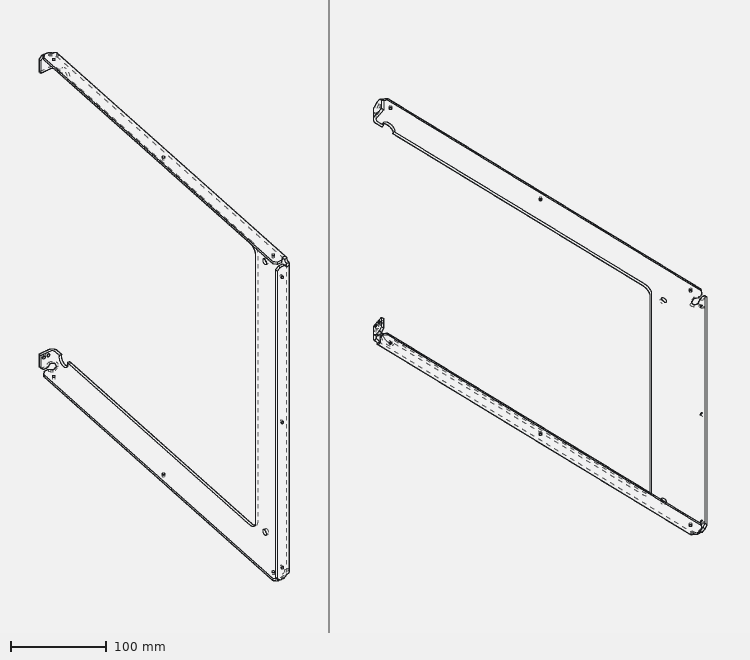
import cadquery as cq

length_x = 423.5
depth_y = 19.0
height_z = 439.0

sheet = 3.0
inner_bend_radius = 3.5
outer_bend_radius = sheet + inner_bend_radius
plate_front = depth_y / 2 - sheet
right_x = length_x / 2
left_x = -right_x
top_z = height_z / 2

arm_edge_z = 194.0
post_edge_x = 151.0
opening_corner_radius = 10.0

flange_end_gap = 4.5
flange_chamfer = 3.5
relief_diameter = 5.0
relief_inset = 6.0

plate_hole_diameter = 6.5
plate_hole_x = 167.5
plate_hole_z = 186.0
notch_diameter = 15.0
notch_x = -190.0
notch_center_z = 196.5

flange_hole_diameter = 2.9
flange_hole_y = -2.5
arm_hole_spacing = 195.0
post_hole_spacing = 200.0
tab_hole_diameter = 3.5
tab_hole_z = -199.0
tab_hole_ys = (0.5, -5.3)


def box_between(x_range, y_range, z_range):
    """Box given by its limits along each axis."""
    lows, highs = zip(x_range, y_range, z_range)
    sizes = [high - low for low, high in zip(lows, highs)]
    return cq.Workplane("XY").box(*sizes, centered=False).translate(lows)


def cylinder_y(diameter, x, z):
    """Cutter along Y through the whole depth."""
    return cq.Workplane("XZ").center(x, z).circle(diameter / 2).extrude(depth_y, both=True)


def flange(width, reach):
    """Flange along X with its outer face at Z = reach, bend included, clipped at both ends."""
    back = depth_y / 2
    end = width / 2
    profile = (
        cq.Workplane("YZ")
        .moveTo(-back, reach)
        .lineTo(back - outer_bend_radius, reach)
        .radiusArc((back, reach - outer_bend_radius), outer_bend_radius)
        .lineTo(plate_front, reach - outer_bend_radius)
        .radiusArc((back - outer_bend_radius, reach - sheet), -inner_bend_radius)
        .lineTo(-back, reach - sheet)
        .close()
        .extrude(end, both=True)
    )
    wall_top = back - outer_bend_radius
    root = end - flange_chamfer
    outline = (
        cq.Workplane("XY")
        .polyline([
            (-root, back), (root, back), (root, wall_top), (end, wall_top - flange_chamfer),
            (end, -back + flange_chamfer), (root, -back), (-root, -back),
            (-end, -back + flange_chamfer), (-end, wall_top - flange_chamfer), (-root, wall_top),
        ])
        .close()
        .extrude(height_z, both=True)
    )
    return profile.intersect(outline)


def turned(body, angle):
    """Rotate a body about the Y axis."""
    return body.rotate((0, 0, 0), (0, 1, 0), angle)


plate = box_between(
    (left_x + outer_bend_radius, right_x - outer_bend_radius),
    (plate_front, depth_y / 2),
    (-top_z + outer_bend_radius, top_z - outer_bend_radius),
)
opening = (
    box_between((-length_x, post_edge_x), (-depth_y, depth_y), (-arm_edge_z, arm_edge_z))
    .edges("|Y and >X")
    .fillet(opening_corner_radius)
)

arm_flange = flange(length_x - 2 * flange_end_gap, top_z)
side_flange = flange(height_z - 2 * flange_end_gap, right_x)
result = plate.union(arm_flange).union(turned(arm_flange, 180))
result = result.union(turned(side_flange, 90)).union(turned(side_flange, -90))
result = result.cut(opening)

for side in (-1, 1):
    for end in (-1, 1):
        relief_x = end * (right_x - relief_inset)
        relief_z = side * (top_z - relief_inset)
        result = result.cut(cylinder_y(relief_diameter, relief_x, relief_z))
    result = result.cut(cylinder_y(plate_hole_diameter, plate_hole_x, side * plate_hole_z))
    result = result.cut(cylinder_y(notch_diameter, notch_x, side * notch_center_z))

for x in (-arm_hole_spacing, 0, arm_hole_spacing):
    hole = cq.Workplane("XY").center(x, flange_hole_y).circle(flange_hole_diameter / 2)
    result = result.cut(hole.extrude(height_z, both=True))

for z in (-post_hole_spacing, 0, post_hole_spacing):
    hole = cq.Workplane("YZ").center(flange_hole_y, z).circle(flange_hole_diameter / 2)
    result = result.cut(hole.extrude(length_x))

for y in tab_hole_ys:
    tab_hole = cq.Workplane("YZ").center(y, tab_hole_z).circle(tab_hole_diameter / 2)
    result = result.cut(tab_hole.extrude(-length_x))